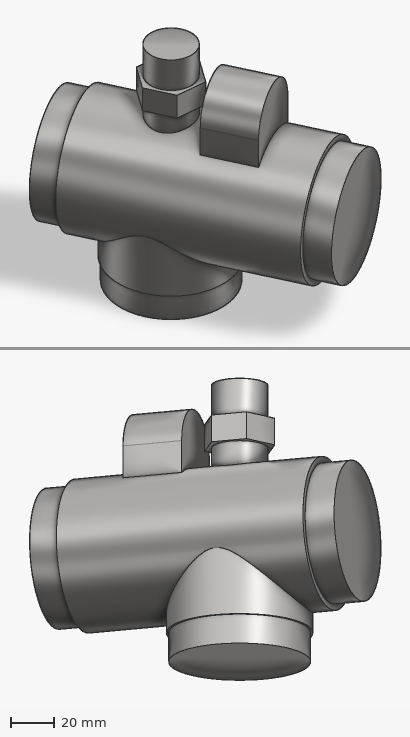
import cadquery as cq
import math

overall_length = 150.0
spigot_length = 14.2
spigot_diameter = 66.0
body_diameter = 72.0
body_length = overall_length - 2 * spigot_length

branch_x = -17.0
branch_diameter = 68.1
branch_depth = 44.0
branch_spigot_depth = 57.9

stem_diameter = 26.2
stem_top = 75.2
hex_across_flats = 29.8
hex_bottom = 45.0
hex_top = 57.9

lug_start_x = 4.8
lug_length = 29.0
lug_width = 39.0
lug_arc_centre_z = 45.6


def run_cylinder(diameter, length):
    """Cylinder along X, centred on the origin."""
    start = cq.Workplane("YZ", origin=(-length / 2, 0, 0))
    return start.circle(diameter / 2).extrude(length)


def vertical_cylinder(diameter, end_z):
    """Cylinder from the run axis to end_z on the branch axis."""
    return cq.Workplane("XY", origin=(branch_x, 0, 0)).circle(diameter / 2).extrude(end_z)


def hex_nut():
    """Hexagonal collar with two corners pointing along X."""
    across_corners = hex_across_flats / math.cos(math.pi / 6)
    collar_base = cq.Workplane("XY", origin=(branch_x, 0, hex_bottom))
    return collar_base.polygon(6, across_corners).extrude(hex_top - hex_bottom)


def lug():
    """Block with a semicircular top, rising from the run axis."""
    half_width = lug_width / 2
    return (
        cq.Workplane("YZ", origin=(lug_start_x, 0, 0))
        .moveTo(-half_width, 0)
        .lineTo(half_width, 0)
        .lineTo(half_width, lug_arc_centre_z)
        .threePointArc((0, lug_arc_centre_z + half_width), (-half_width, lug_arc_centre_z))
        .close()
        .extrude(lug_length)
    )


result = (
    run_cylinder(body_diameter, body_length)
    .union(run_cylinder(spigot_diameter, overall_length))
    .union(vertical_cylinder(branch_diameter, -branch_depth))
    .union(vertical_cylinder(spigot_diameter, -branch_spigot_depth))
    .union(vertical_cylinder(stem_diameter, stem_top))
    .union(hex_nut())
    .union(lug())
)